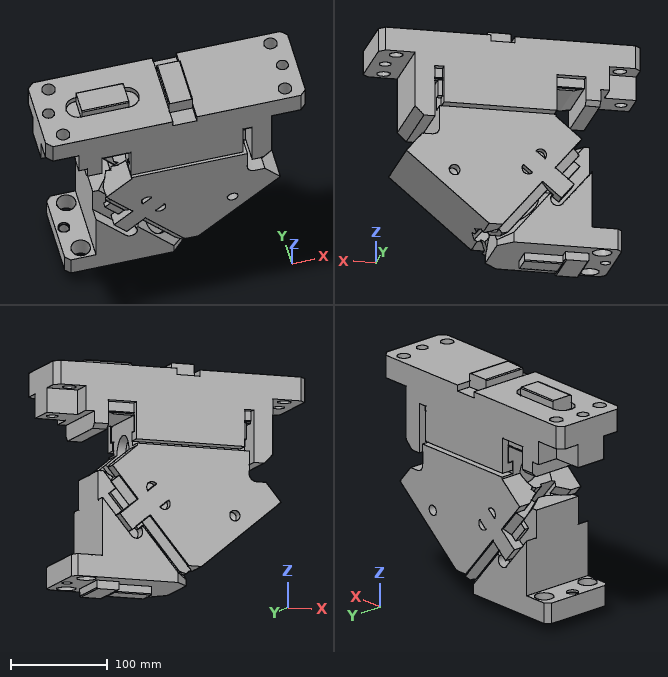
import cadquery as cq
import math

width = 85.0
half_width = width / 2
length = 277.0

cam_angle = math.radians(50)
roof_angle = math.radians(30)
cam_start_x = 63.2
cam_start_z = 118.5

key_stand = 9.0
key_width = 25.5
cross_key_length = 51.0
key_chamfer = 1.0

holder_top_z = 225.2
flange_bottom_z = 200.0
holder_corner = 6.5
body_start_x = 33.8
body_bottom_z = 187.0
left_block_width = 35.5
left_block_bottom_z = 174.2
front_tab_start_x = 43.2
front_tab_end_x = 58.7
front_tab_bottom_z = 156.8
front_tab_chamfer = 5.0
rear_tab_start_x = 218.5
rear_tab_end_x = 239.5
rear_tab_bottom_z = 131.9
rear_tab_chamfer = 9.5
rail_start_x = 89.5
rail_end_x = 208.9
rail_bottom_z = 148.0
rail_inner = 28.5
guide_core_bottom_z = 177.0
guide_plate_bottom_z = 174.5
guide_plate_half = 33.2
guide_plate_bevel = 10.5
guide_plate_chamfer = 1.5
key_seat_depth = 6.6
top_slot_start_x = 31.3
top_slot_end_x = 108.5
top_key_start_x = 45.0
top_key_end_x = 95.0
top_cross_key_start_x = 134.0
screw_hole_diameter = 13.8
dowel_hole_diameter = 12.2
hole_row_offset = 30.0
holder_screw_x = (20.2, 256.8)
holder_dowel_x = (12.5, 261.8)

slide_start_x = 90.3
slide_end_x = 213.5
slide_shoulder_z = 143.5
slide_neck_half = 27.7
slide_head_half = 34.5
slide_neck_top_z = 157.3
slide_nose_x = 232.0
slide_nose_z = 112.0
slide_nose_length = 26.0
slide_bottom_z = 18.5
slide_corner_radius = 8.0
groove_half = 28.8
groove_relief_half = 13.3
groove_relief_depth = 6.5
rib_root_half = 6.5
rib_tip_half = 3.3
rib_height = 3.3
bore_radius = 17.7
bore_z = 141.3
bore_end_x = 99.7
side_hole_x = 197.8
side_hole_z = 74.5
side_hole_radius = 5.5
side_hole_depth = 11.0
drill_half_angle = math.radians(59)

plate_start = 12.7
plate_end = 136.0
plate_depth = 9.1
plate_outer_half = 40.0
plate_foot_half = 35.0
plate_inner_foot_half = 33.5
plate_bevel_length = 6.6
plate_bevel_height = 3.5

claw_start = 43.8
claw_end = 64.8
claw_depth = 26.0
lug_start = 21.3
lug_end = 68.7
lug_depth = 17.2
lug_half = 34.5
claw_inner_half = 29.5
relief_radius = 6.0
relief_height = 20.2

driver_start_x = 20.0
driver_end_x = 149.9
driver_base_top_z = 23.0
driver_base_corner = 5.3
driver_end_corner = 14.7
tower_start_x = 52.0
tower_top_z = 114.7
tower_neck_half = 29.0
roof_edge_depth = 14.0
ridge_half = 4.7
channel_depth = 30.7
channel_radius = 7.0
channel_end = 69.0
driver_screw_x = 39.0
driver_screw_diameter = 20.0
driver_dowel_x = 28.8
driver_dowel_step_diameter = 10.5
driver_dowel_depth = 2.5
roof_pocket_at = 95.3
roof_pocket_offset = 22.2
roof_pocket_radius = 20.8
roof_pocket_depth = 2.8
driver_key_split_x = 76.7
driver_key_end_x = 117.2

SIDES = (-1, 1)
cam_start = cq.Vector(cam_start_x, 0, cam_start_z)
cam_direction = cq.Vector(math.cos(cam_angle), 0, -math.sin(cam_angle))
roof_slope = math.tan(roof_angle)


def box(x0, x1, half_y, z0, z1):
    """Block centred on Y = 0."""
    return cq.Workplane("XY").box(x1 - x0, 2 * half_y, z1 - z0).translate(
        ((x0 + x1) / 2, 0, (z0 + z1) / 2)
    )


def side_block(x0, x1, inner, outer, z0, z1, side):
    """Block on one side of the middle plane, between two distances from it."""
    block = cq.Workplane("XY").box(x1 - x0, outer - inner, z1 - z0)
    return block.translate(((x0 + x1) / 2, side * (inner + outer) / 2, (z0 + z1) / 2))


def across_cam(distance):
    """Workplane square to the cam line: first axis +Y, second away from the driver."""
    origin = cam_start + cam_direction * distance
    return cq.Workplane(cq.Plane(origin=origin, xDir=(0, 1, 0), normal=cam_direction))


def beside_cam(offset_y):
    """Workplane facing -Y: first axis along the cam line, second away from the driver."""
    origin = (cam_start_x, offset_y, cam_start_z)
    return cq.Workplane(cq.Plane(origin=origin, xDir=cam_direction, normal=(0, -1, 0)))


def cam_block(start, end, low, high, inner, outer, side):
    """Block aligned with the cam line on one side of the middle plane."""
    near = outer if side > 0 else -inner
    return (
        beside_cam(near)
        .moveTo((start + end) / 2, (low + high) / 2)
        .rect(end - start, high - low)
        .extrude(outer - inner)
    )


def vertical_holes(points, diameter):
    """Cutters long enough to pass through the whole unit."""
    cutters = cq.Workplane("XY").workplane(offset=-holder_top_z).pushPoints(points)
    return cutters.circle(diameter / 2).extrude(3 * holder_top_z)


def roof_height(half_y):
    """Height of the V guide surface relative to the cam line."""
    return (half_width - half_y) * roof_slope - roof_edge_depth


def holder_guide():
    """Rails, the middle core between the tabs, and the plate the slide runs on."""
    core = box(front_tab_end_x, rear_tab_start_x, slide_head_half, guide_core_bottom_z, body_bottom_z)
    plate = (
        cq.Workplane("XZ", origin=(0, guide_plate_half, 0))
        .moveTo(front_tab_end_x, guide_core_bottom_z)
        .lineTo(front_tab_end_x + guide_plate_bevel, guide_plate_bottom_z)
        .lineTo(rear_tab_start_x, guide_plate_bottom_z)
        .lineTo(rear_tab_start_x, guide_core_bottom_z)
        .close()
        .extrude(2 * guide_plate_half)
    )
    plate = plate.faces("<Z").edges("|X").chamfer(guide_plate_chamfer)
    guide = core.union(plate)
    for side in SIDES:
        wall = side_block(
            rail_start_x, rail_end_x, slide_head_half, half_width, rail_bottom_z, body_bottom_z, side
        )
        lip = side_block(
            rail_start_x, rail_end_x, rail_inner, half_width, rail_bottom_z, slide_neck_top_z, side
        )
        guide = guide.union(wall).union(lip)
    return guide


def holder_keys():
    """Long key in its rounded slot and cross key in its groove."""
    seat_z = holder_top_z - key_seat_depth
    top_z = holder_top_z + key_stand
    long_key = box(top_key_start_x, top_key_end_x, key_width / 2, seat_z, top_z)
    long_key = long_key.faces(">Z").edges("|X").chamfer(key_chamfer)
    cross_key = box(
        top_cross_key_start_x, top_cross_key_start_x + key_width, cross_key_length / 2, seat_z, top_z
    )
    cross_key = cross_key.faces(">Z").edges("|Y").chamfer(key_chamfer)
    return long_key.union(cross_key)


def make_holder():
    slab = box(0, length, half_width, flange_bottom_z, holder_top_z)
    slab = slab.edges("|Z").chamfer(holder_corner)
    left_block = box(0, body_start_x, left_block_width / 2, left_block_bottom_z, flange_bottom_z)
    front_step = box(body_start_x, front_tab_end_x, half_width, left_block_bottom_z, flange_bottom_z)
    front_tab = box(
        front_tab_start_x, front_tab_end_x, half_width, front_tab_bottom_z, flange_bottom_z
    )
    front_tab = front_tab.faces("<Z").edges("|X").chamfer(front_tab_chamfer)
    body = box(front_tab_end_x, rear_tab_start_x, half_width, body_bottom_z, flange_bottom_z)
    rear_tab = box(rear_tab_start_x, rear_tab_end_x, half_width, rear_tab_bottom_z, flange_bottom_z)
    rear_tab = rear_tab.faces("<Z").edges(">X").chamfer(rear_tab_chamfer)

    holder = slab.union(left_block).union(front_step).union(front_tab).union(body).union(rear_tab)
    holder = holder.union(holder_guide())

    seat_z = holder_top_z - key_seat_depth
    slot = (
        cq.Workplane("XY", origin=((top_slot_start_x + top_slot_end_x) / 2, 0, seat_z))
        .slot2D(top_slot_end_x - top_slot_start_x, key_width)
        .extrude(key_seat_depth)
    )
    groove = box(
        top_cross_key_start_x, top_cross_key_start_x + key_width, half_width, seat_z, holder_top_z
    )
    holder = holder.cut(slot).cut(groove).union(holder_keys())

    screws = [(x, side * hole_row_offset) for x in holder_screw_x for side in SIDES]
    dowels = [(x, 0) for x in holder_dowel_x]
    holder = holder.cut(vertical_holes(screws, screw_hole_diameter))
    return holder.cut(vertical_holes(dowels, dowel_hole_diameter))


def slide_block():
    """Main plate of the slide with the T-shaped head that runs in the holder."""
    tip_x = slide_nose_x + slide_nose_length * math.cos(cam_angle)
    tip_z = slide_nose_z - slide_nose_length * math.sin(cam_angle)
    heel_x = tip_x - (tip_z - slide_bottom_z) * math.tan(cam_angle)
    toe_x = cam_start_x + (cam_start_z - slide_bottom_z) / math.tan(cam_angle)
    front_z = cam_start_z + (slide_start_x - cam_start_x) / math.tan(cam_angle)
    outline = [
        (cam_start_x, cam_start_z),
        (slide_start_x, front_z),
        (slide_start_x, slide_shoulder_z),
        (slide_end_x, slide_shoulder_z),
        (slide_end_x, slide_nose_z),
        (slide_nose_x, slide_nose_z),
        (tip_x, tip_z),
        (heel_x, slide_bottom_z),
        (toe_x, slide_bottom_z),
    ]
    block = cq.Workplane("XZ", origin=(0, half_width, 0)).polyline(outline).close().extrude(width)
    inner_corner = cq.selectors.NearestToPointSelector((slide_end_x, 0, slide_nose_z))
    block = block.edges("|Y").edges(inner_corner).fillet(slide_corner_radius)
    neck = box(slide_start_x, slide_end_x, slide_neck_half, slide_shoulder_z, slide_neck_top_z)
    head = box(slide_start_x, slide_end_x, slide_head_half, slide_neck_top_z, guide_plate_bottom_z)
    return block.union(neck).union(head)


def groove_height(half_y):
    """Height of the slide's own V groove above the cam line."""
    return (groove_half - half_y) * roof_slope


def slide_groove():
    """V groove under the wear plates, with a deeper relief and a rib along its middle."""
    step_y = groove_relief_half + groove_relief_depth * math.sin(roof_angle)
    step_height = groove_height(groove_relief_half) + groove_relief_depth * math.cos(roof_angle)
    rib_root_height = step_height + (step_y - rib_root_half) * roof_slope
    right_half = [
        (groove_half, 0),
        (groove_relief_half, groove_height(groove_relief_half)),
        (step_y, step_height),
        (rib_root_half, rib_root_height),
        (rib_tip_half, rib_root_height - rib_height),
    ]
    left_half = [(-y, h) for y, h in reversed(right_half)]
    outline = right_half + left_half
    return across_cam(-plate_start).polyline(outline).close().extrude(2 * plate_end)


def wear_plate(side):
    """Plate between the slide's groove and one side of the driver's roof."""
    thickness = (groove_height(0) - roof_height(0)) * math.cos(roof_angle)
    inner_bottom = groove_relief_half - thickness * math.sin(roof_angle)
    outline = [
        (side * plate_outer_half, 0),
        (side * plate_foot_half, -plate_depth),
        (side * plate_inner_foot_half, roof_height(plate_inner_foot_half)),
        (side * inner_bottom, roof_height(inner_bottom)),
        (side * groove_relief_half, groove_height(groove_relief_half)),
        (side * groove_half, 0),
    ]
    plate = across_cam(plate_start).polyline(outline).close().extrude(plate_end - plate_start)
    corner = (
        beside_cam(half_width)
        .moveTo(plate_end, -plate_depth)
        .lineTo(plate_end - plate_bevel_length, -plate_depth)
        .lineTo(plate_end, plate_bevel_height - plate_depth)
        .close()
        .extrude(width)
    )
    return plate.cut(corner)


def claw(side):
    """Claw reaching down beside the driver, with the wider lug on its inner face."""
    finger = cam_block(claw_start, claw_end, -claw_depth, 0, claw_inner_half, half_width, side)
    lug = cam_block(lug_start, lug_end, -lug_depth, 0, claw_inner_half, lug_half, side)
    return finger.union(lug)


def claw_reliefs(side):
    """Half-round pockets beside the upper corners of a claw."""
    outer_face = half_width if side > 0 else -lug_half
    thickness = half_width - lug_half
    rounds = (
        beside_cam(outer_face)
        .pushPoints([(claw_start, relief_height), (claw_end, relief_height)])
        .circle(relief_radius)
        .extrude(thickness)
    )
    kept = cam_block(
        claw_start, claw_end, 0, relief_height + 2 * relief_radius, lug_half, half_width, side
    )
    return rounds.cut(kept)


def side_hole(side):
    """Blind drilled hole with a conical end."""
    tip = side_hole_depth + side_hole_radius / math.tan(drill_half_angle)
    outer = side * half_width
    profile = [
        (side_hole_x, outer),
        (side_hole_x + side_hole_radius, outer),
        (side_hole_x + side_hole_radius, outer - side * side_hole_depth),
        (side_hole_x, outer - side * tip),
    ]
    drill = cq.Workplane("XY", origin=(0, 0, side_hole_z)).polyline(profile).close()
    return drill.revolve(360, (side_hole_x, 0, 0), (side_hole_x, 1, 0))


def make_slide():
    slide = slide_block().cut(slide_groove())
    bore = cq.Workplane("YZ").center(0, bore_z).circle(bore_radius).extrude(bore_end_x)
    slide = slide.cut(bore)
    for side in SIDES:
        slide = slide.union(wear_plate(side)).union(claw(side))
        slide = slide.cut(claw_reliefs(side)).cut(side_hole(side))
    return slide


def roof_envelope():
    """Space under the V roof, followed along the whole cam line."""
    floor = -2 * tower_top_z
    outline = [
        (-half_width, floor),
        (-half_width, -roof_edge_depth),
        (-ridge_half, roof_height(ridge_half)),
        (ridge_half, roof_height(ridge_half)),
        (half_width, -roof_edge_depth),
        (half_width, floor),
    ]
    return across_cam(-length).polyline(outline).close().extrude(2 * length)


def claw_channel(side):
    """Side recess for a claw: open at the upper end, rounded at the lower end."""
    near = half_width if side > 0 else -tower_neck_half
    bulge = (channel_end + channel_radius, channel_radius - channel_depth)
    return (
        beside_cam(near)
        .moveTo(-length, -channel_depth)
        .lineTo(channel_end, -channel_depth)
        .threePointArc(bulge, (channel_end, 2 * channel_radius - channel_depth))
        .lineTo(channel_end, length)
        .lineTo(-length, length)
        .close()
        .extrude(half_width - tower_neck_half)
    )


def roof_pocket(side):
    """Shallow round pocket square to one side of the roof."""
    inward = cq.Vector(0, -side * math.sin(roof_angle), -math.cos(roof_angle))
    frame = across_cam(roof_pocket_at).plane
    centre = frame.toWorldCoords((side * roof_pocket_offset, roof_height(roof_pocket_offset), 0))
    direction = frame.yDir * inward.z + frame.xDir * inward.y
    pocket = cq.Workplane(cq.Plane(origin=centre, xDir=cam_direction, normal=direction))
    return pocket.circle(roof_pocket_radius).extrude(roof_pocket_depth)


def driver_keys():
    """Cross key and long key under the base, forming a T."""
    cross_key = box(tower_start_x, driver_key_split_x, cross_key_length / 2, -key_stand, 0)
    cross_key = cross_key.faces("<Z").edges("|Y").chamfer(key_chamfer)
    long_key = box(driver_key_split_x, driver_key_end_x, key_width / 2, -key_stand, 0)
    long_key = long_key.faces("<Z").edges("|X").chamfer(key_chamfer)
    return cross_key.union(long_key)


def make_driver():
    base = box(driver_start_x, driver_end_x, half_width, 0, driver_base_top_z)
    base = base.edges("|Z and <X").chamfer(driver_base_corner)
    tower = box(tower_start_x, driver_end_x, half_width, 0, tower_top_z)
    driver = base.union(tower)
    driver = driver.edges("|Z and >X").chamfer(driver_end_corner)
    driver = driver.intersect(roof_envelope())
    for side in SIDES:
        driver = driver.cut(claw_channel(side)).cut(roof_pocket(side))
    screws = [(driver_screw_x, side * hole_row_offset) for side in SIDES]
    driver = driver.cut(vertical_holes(screws, driver_screw_diameter))
    driver = driver.cut(vertical_holes([(driver_dowel_x, 0)], driver_dowel_step_diameter))
    dowel_mouth = (
        cq.Workplane("XY", origin=(driver_dowel_x, 0, driver_base_top_z - driver_dowel_depth))
        .circle(dowel_hole_diameter / 2)
        .extrude(driver_dowel_depth)
    )
    driver = driver.cut(dowel_mouth)
    return driver.union(driver_keys())


holder = make_holder()
slide = make_slide()
driver = make_driver()
result = cq.Compound.makeCompound([body.solids().val() for body in (holder, slide, driver)])